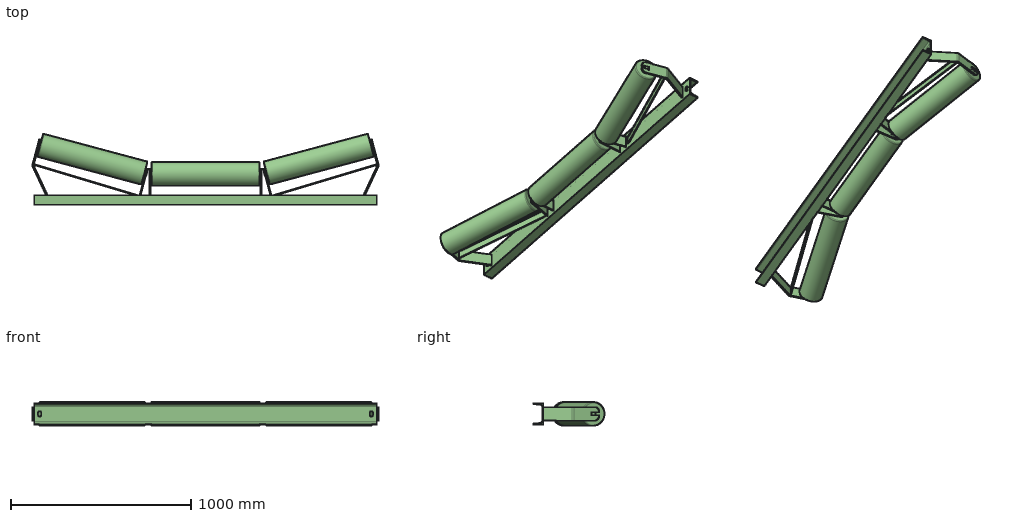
import cadquery as cq
import math


BEAM_LENGTH = 1900.0
BEAM_HEIGHT = 120.0
FLANGE_WIDTH = 55.0
WEB_THICKNESS = 7.0
FLANGE_THICKNESS = 9.0
FLANGE_TAPER = 0.08
ROOT_RADIUS = 9.0
TOE_RADIUS = 4.5
MOUNT_SLOT_LENGTH = 30.0
MOUNT_SLOT_WIDTH = 18.0
MOUNT_SLOT_X = 920.0
WEB_FACE_Y = FLANGE_WIDTH

ROLLER_LENGTH = 600.0
ROLLER_DIAMETER = 133.0
ROLLER_EDGE_RADIUS = 5.0
SHAFT_DIAMETER = 25.0
SHAFT_FLATS = 18.0
TROUGH_ANGLE = 15.0
OVERALL_Y = 394.78
WING_CENTRE_X = 628.0
CENTRE_AXIS_Y = WEB_FACE_Y + 117.0

BRACKET_WIDTH = 75.0
SLOT_OVERCUT = 1.0
END_THICKNESS = 8.0
END_GAP = 5.0
END_RISE = 31.0
END_CORNER_RADIUS = 25.0
END_BEND_RADIUS = 10.0
END_REACH_X = 960.5
END_FOOT_X = 885.0
INNER_THICKNESS = 6.0
INNER_GAP = 5.0
INNER_RISE = 28.0
INNER_BEND_RADIUS = 2.0

STRUT_WIDTH = 50.0
STRUT_THICKNESS = 5.0
STRUT_FOOT_X = 378.0
STRUT_ANGLE = 16.7

TILT = math.radians(TROUGH_ANGLE)
COS = math.cos(TILT)
SIN = math.sin(TILT)
HALF_ROLLER = ROLLER_LENGTH / 2
ROUNDING_ALONG = HALF_ROLLER - ROLLER_EDGE_RADIUS
ROUNDING_ACROSS = ROLLER_DIAMETER / 2 - ROLLER_EDGE_RADIUS
WING_CENTRE_Y = OVERALL_Y - ROUNDING_ALONG * SIN - ROUNDING_ACROSS * COS - ROLLER_EDGE_RADIUS
END_INNER = HALF_ROLLER + END_GAP
END_OUTER = END_INNER + END_THICKNESS
INNER_NEAR = HALF_ROLLER + INNER_GAP
INNER_FAR = INNER_NEAR + INNER_THICKNESS
INNER_TOP_Y = CENTRE_AXIS_Y + INNER_RISE
SHAFT_REACH = END_OUTER


def wing_point(along, across):
    """Point given by its distance outward along the +X wing axis and upward across it."""
    x = WING_CENTRE_X + along * COS - across * SIN
    y = WING_CENTRE_Y + along * SIN + across * COS
    return (x, y)


def wing_plane_at_y(along, y):
    """Point at height y on the plane square to the wing axis."""
    return wing_point(along, (y - WING_CENTRE_Y - along * SIN) / COS)


def on_wing(body):
    """Move a body built along X at the origin onto the wing axis."""
    tilted = body.rotate((0, 0, 0), (0, 0, 1), TROUGH_ANGLE)
    return tilted.translate((WING_CENTRE_X, WING_CENTRE_Y, 0))


def prism(points, width):
    """Outline in XY extruded symmetrically across Z."""
    return cq.Workplane("XY").polyline(points).close().extrude(width / 2, both=True)


def edge_at(point):
    """Selector for the edge along Z that passes through an XY point."""
    size = 0.1
    x, y = point
    return cq.selectors.BoxSelector((x - size, y - size, -size), (x + size, y + size, size))


def shaft_slot(length, rise):
    """Cutter for a slot open at the top, with its floor under a shaft lying on the X axis."""
    radius = SHAFT_DIAMETER / 2
    top = rise + SLOT_OVERCUT
    return (
        cq.Workplane("XY")
        .box(length, top + radius, SHAFT_FLATS)
        .translate((0, (top - radius) / 2, 0))
    )


def make_beam():
    half_height = BEAM_HEIGHT / 2
    web_inner_y = WEB_FACE_Y - WEB_THICKNESS
    mid_flange_y = FLANGE_WIDTH / 2
    toe_thickness = FLANGE_THICKNESS - FLANGE_TAPER * mid_flange_y
    root_thickness = FLANGE_THICKNESS + FLANGE_TAPER * (web_inner_y - mid_flange_y)
    toe_z = half_height - toe_thickness
    root_z = half_height - root_thickness
    section = [
        (WEB_FACE_Y, -half_height),
        (WEB_FACE_Y, half_height),
        (0, half_height),
        (0, toe_z),
        (web_inner_y, root_z),
        (web_inner_y, -root_z),
        (0, -toe_z),
        (0, -half_height),
    ]
    beam = cq.Workplane("YZ").polyline(section).close().extrude(BEAM_LENGTH / 2, both=True)
    for y, z, radius in [(web_inner_y, root_z, ROOT_RADIUS), (0, toe_z, TOE_RADIUS)]:
        for side in (-1, 1):
            edge = cq.selectors.NearestToPointSelector((0, y, side * z))
            beam = beam.edges("|X").edges(edge).fillet(radius)
    slots = (
        cq.Workplane("XZ")
        .pushPoints([(-MOUNT_SLOT_X, 0), (MOUNT_SLOT_X, 0)])
        .slot2D(MOUNT_SLOT_LENGTH, MOUNT_SLOT_WIDTH, 90)
        .extrude(-WEB_FACE_Y)
    )
    return beam.cut(slots)


def make_roller():
    """Roller along X, centred on the origin, with flattened shaft ends."""
    drum = cq.Workplane("YZ", origin=(-HALF_ROLLER, 0, 0)).circle(ROLLER_DIAMETER / 2).extrude(ROLLER_LENGTH)
    drum = drum.faces("<X or >X").edges().fillet(ROLLER_EDGE_RADIUS)
    shaft = cq.Workplane("YZ").circle(SHAFT_DIAMETER / 2).extrude(SHAFT_REACH, both=True)
    flats = cq.Workplane("XY").box(2 * SHAFT_REACH, SHAFT_DIAMETER, SHAFT_FLATS)
    return drum.union(shaft.intersect(flats))


def end_bracket_corners():
    """Outer and inner sharp corners of the end bracket's bend, and the foot's inner edge."""
    outer_bend_radius = END_BEND_RADIUS + END_THICKNESS
    centre_x = END_REACH_X - outer_bend_radius
    centre_along = END_OUTER - outer_bend_radius
    centre_across = (WING_CENTRE_X + centre_along * COS - centre_x) / SIN
    centre_y = wing_point(centre_along, centre_across)[1]
    foot_dx = centre_x - END_FOOT_X
    foot_dy = centre_y - WEB_FACE_Y
    foot_distance = math.hypot(foot_dx, foot_dy)
    leg_angle = math.atan2(foot_dx, foot_dy) + math.asin(outer_bend_radius / foot_distance)
    bisector = (TILT - leg_angle) / 2
    half_bend = (TILT + leg_angle) / 2

    def corner(radius):
        distance = radius / math.cos(half_bend)
        return (centre_x + distance * math.cos(bisector), centre_y + distance * math.sin(bisector))

    foot_inner = (END_FOOT_X - END_THICKNESS / math.cos(leg_angle), WEB_FACE_Y)
    return corner(outer_bend_radius), corner(END_BEND_RADIUS), foot_inner


def make_end_bracket():
    """Bent plate holding the outer shaft end of the wing roller."""
    outer_corner, inner_corner, foot_inner = end_bracket_corners()
    bracket = prism(
        [
            (END_FOOT_X, WEB_FACE_Y),
            outer_corner,
            wing_point(END_OUTER, END_RISE),
            wing_point(END_INNER, END_RISE),
            inner_corner,
            foot_inner,
        ],
        BRACKET_WIDTH,
    )
    bracket = bracket.edges(edge_at(outer_corner)).fillet(END_BEND_RADIUS + END_THICKNESS)
    bracket = bracket.edges(edge_at(inner_corner)).fillet(END_BEND_RADIUS)
    tip_x, tip_y = wing_point((END_INNER + END_OUTER) / 2, END_RISE)
    for side in (-1, 1):
        tip_corner = cq.selectors.NearestToPointSelector((tip_x, tip_y, side * BRACKET_WIDTH / 2))
        bracket = bracket.edges(tip_corner).fillet(END_CORNER_RADIUS)
    slot = shaft_slot(2 * END_THICKNESS, END_RISE).translate((END_OUTER, 0, 0))
    return bracket.cut(on_wing(slot))


def make_inner_bracket():
    """Folded plate holding the shaft ends of the centre roller and the wing roller."""
    under_top_y = INNER_TOP_Y - INNER_THICKNESS
    top_corners = [(INNER_NEAR, INNER_TOP_Y), wing_plane_at_y(-INNER_NEAR, INNER_TOP_Y)]
    under_corners = [wing_plane_at_y(-INNER_FAR, under_top_y), (INNER_FAR, under_top_y)]
    bracket = prism(
        [
            (INNER_NEAR, WEB_FACE_Y),
            *top_corners,
            wing_plane_at_y(-INNER_NEAR, WEB_FACE_Y),
            wing_plane_at_y(-INNER_FAR, WEB_FACE_Y),
            *under_corners,
            (INNER_FAR, WEB_FACE_Y),
        ],
        BRACKET_WIDTH,
    )
    for corner in top_corners:
        bracket = bracket.edges(edge_at(corner)).fillet(INNER_BEND_RADIUS + INNER_THICKNESS)
    for corner in under_corners:
        bracket = bracket.edges(edge_at(corner)).fillet(INNER_BEND_RADIUS)
    bridge = top_corners[1][0] - INNER_NEAR
    centre_slot = shaft_slot(bridge, INNER_RISE).translate((INNER_NEAR + bridge / 2, CENTRE_AXIS_Y, 0))
    wing_slot = shaft_slot(bridge, 2 * INNER_RISE).translate((-INNER_NEAR, 0, 0))
    return bracket.cut(centre_slot).cut(on_wing(wing_slot))


def make_strut():
    """Flat bar rising from the beam to the inside of the end bracket's bend."""
    slope = math.radians(STRUT_ANGLE)
    foot_length = STRUT_THICKNESS / math.sin(slope)
    run = END_REACH_X - STRUT_FOOT_X
    rise = run * math.tan(slope)
    bar = prism(
        [
            (STRUT_FOOT_X, WEB_FACE_Y),
            (STRUT_FOOT_X + foot_length, WEB_FACE_Y),
            (STRUT_FOOT_X + foot_length + run, WEB_FACE_Y + rise),
            (STRUT_FOOT_X + run, WEB_FACE_Y + rise),
        ],
        STRUT_WIDTH,
    )
    _, inner_corner, foot_inner = end_bracket_corners()
    inside = prism(
        [
            wing_point(-HALF_ROLLER, 0),
            wing_point(END_INNER, 0),
            inner_corner,
            foot_inner,
            (0, WEB_FACE_Y),
        ],
        STRUT_WIDTH,
    )
    inside = inside.edges(edge_at(inner_corner)).fillet(END_BEND_RADIUS)
    return bar.intersect(inside)


beam = make_beam()
roller = make_roller()
centre_roller = roller.translate((0, CENTRE_AXIS_Y, 0))
wing_roller = on_wing(roller)
end_bracket = make_end_bracket()
inner_bracket = make_inner_bracket()
strut = make_strut()

bodies = [beam.solids().val(), centre_roller.solids().val()]
for side_part in (wing_roller, end_bracket, inner_bracket, strut):
    bodies.append(side_part.solids().val())
    bodies.append(side_part.mirror("YZ").solids().val())

result = cq.Compound.makeCompound(bodies)